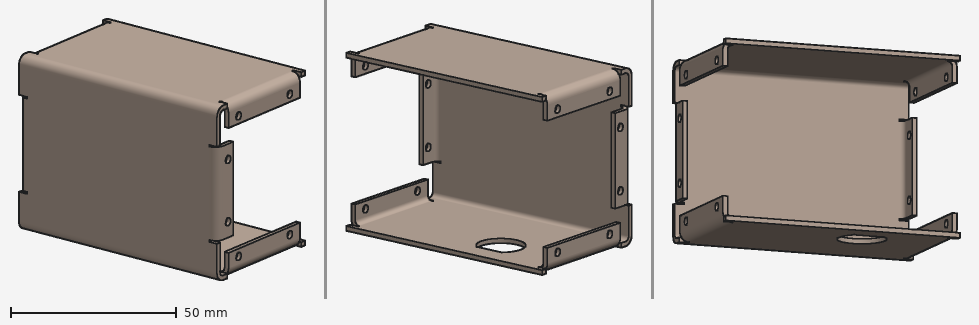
import cadquery as cq

length = 76.2
depth = 43.1
height = 56.0
sheet = 1.5
bend_outer = 3.05
bend_inner = bend_outer - sheet

flange_reach = 8.0
relief_gap = 0.5
plate_flange_width = 35.0
plate_flange_setback = 2.5
wall_flange_width = 30.0

screw_diameter = 2.45
screw_depth = 5.5
plate_screw_pitch = 25.0
wall_screw_pitch = 20.0

opening_diameter = 15.0
opening_x = -11.4
opening_y = 8.4
opening_flat_offset = 5.7

front_y = -depth / 2
plate_flange_y = depth / 2 - plate_flange_setback - plate_flange_width / 2


def channel():
    """U-shaped sheet, open towards +Y, with rounded folds along X."""
    outer = cq.Workplane("XY").box(length, depth, height).edges("|X and <Y").fillet(bend_outer)
    inner = (
        cq.Workplane("XY")
        .box(length, depth, height - 2 * sheet)
        .edges("|X and <Y")
        .fillet(bend_inner)
        .translate((0, sheet, 0))
    )
    return outer.cut(inner)


def flange(width, screw_pitch):
    """Flange at the +X end of a top plate: outer face at Z = 0, outer end at X = 0, centred on Y = 0."""
    bend_line = -bend_outer
    body = (
        cq.Workplane("XZ")
        .moveTo(bend_line, 0)
        .radiusArc((0, bend_line), bend_outer)
        .lineTo(0, -flange_reach)
        .lineTo(-sheet, -flange_reach)
        .lineTo(-sheet, bend_line)
        .radiusArc((bend_line, -sheet), -bend_inner)
        .close()
        .extrude(width / 2, both=True)
    )
    screws = (
        cq.Workplane("YZ")
        .pushPoints([(-screw_pitch / 2, -screw_depth), (screw_pitch / 2, -screw_depth)])
        .circle(screw_diameter / 2)
        .extrude(-bend_outer)
    )
    return body.cut(screws)


def notch(width):
    """Notch at the +X end of a top plate that clears a flange and its relief gaps."""
    return cq.Workplane("XY").box(
        bend_outer, width + 2 * relief_gap, sheet, centered=(False, True, False)
    ).translate((-bend_outer, 0, -sheet))


def on_top(shape):
    """Move a shape to the +X end of the top plate."""
    return shape.translate((length / 2, plate_flange_y, height / 2))


def on_wall(shape):
    """Turn a shape to face -Y and move it to the +X end of the upright wall."""
    return shape.rotate((0, 0, 0), (1, 0, 0), 90).translate((length / 2, front_y, 0))


def opening():
    """Round cutter with a flat on its +Y side, passing through the bottom plate."""
    radius = opening_diameter / 2
    round_hole = cq.Workplane("XY").circle(radius).extrude(sheet)
    below_flat = cq.Workplane("XY").box(
        opening_diameter, radius + opening_flat_offset, sheet, centered=(True, False, False)
    ).translate((0, -radius, 0))
    return round_hole.intersect(below_flat).translate((opening_x, opening_y, -height / 2))


top_flange = on_top(flange(plate_flange_width, plate_screw_pitch))
top_notch = on_top(notch(plate_flange_width))
wall_flange = on_wall(flange(wall_flange_width, wall_screw_pitch))
wall_notch = on_wall(notch(wall_flange_width))

flanges = [top_flange, top_flange.mirror("XY"), wall_flange]
notches = [top_notch, top_notch.mirror("XY"), wall_notch]

result = channel()
for cutter in notches:
    result = result.cut(cutter).cut(cutter.mirror("YZ"))
for tab in flanges:
    result = result.union(tab).union(tab.mirror("YZ"))
result = result.cut(opening())